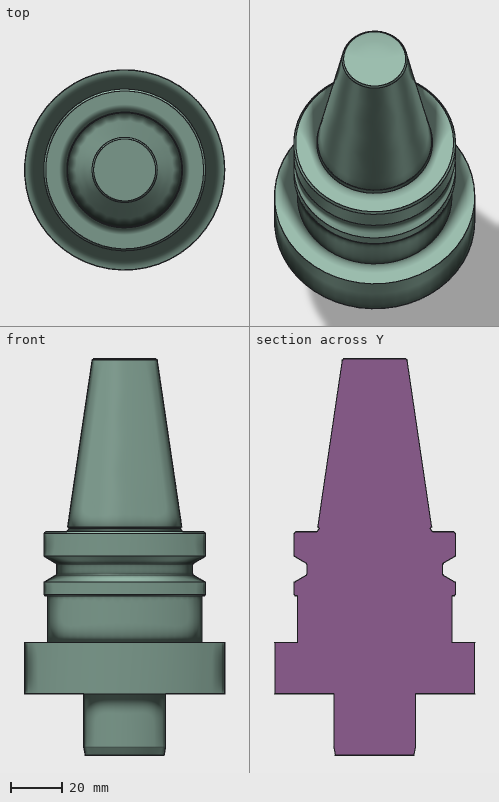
import cadquery as cq
import math

pin_diameter = 32.0
collar_diameter = 78.0
neck_diameter = 60.2
flange_diameter = 63.0
groove_diameter = 53.0
gauge_diameter = 44.5
taper_root_diameter = 45.1

collar_bottom = 24.0
collar_top = 44.0
flange_bottom = 62.0
groove_center = 72.4
flange_top = 87.1
gauge_height = 89.0
total_height = 154.4

taper_ratio = 7 / 24
groove_floor_width = 4.3
groove_wall_angle = 30.0
pin_chamfer_height = 3.2
pin_chamfer_width = 0.6
flange_chamfer = 0.8
flange_bottom_chamfer = 0.5
taper_tip_chamfer = 0.6
relief_depth = 0.6
relief_drop = 0.6
groove_fillet = 0.6

pin_radius = pin_diameter / 2
collar_radius = collar_diameter / 2
neck_radius = neck_diameter / 2
flange_radius = flange_diameter / 2
groove_radius = groove_diameter / 2
gauge_radius = gauge_diameter / 2
relief_radius = gauge_radius - relief_depth
tip_radius = gauge_radius - taper_ratio * (total_height - gauge_height) / 2
groove_wall_height = (flange_radius - groove_radius) * math.tan(math.radians(groove_wall_angle))
groove_floor_half = groove_floor_width / 2
groove_mouth_half = groove_floor_half + groove_wall_height

pin_points = [
    (0, 0),
    (pin_radius - pin_chamfer_width, 0),
    (pin_radius, pin_chamfer_height),
    (pin_radius, collar_bottom),
]
collar_points = [
    (collar_radius, collar_bottom),
    (collar_radius, collar_top),
    (neck_radius, collar_top),
    (neck_radius, flange_bottom),
]
flange_points = [
    (flange_radius - flange_bottom_chamfer, flange_bottom),
    (flange_radius, flange_bottom + flange_bottom_chamfer),
    (flange_radius, groove_center - groove_mouth_half),
    (groove_radius, groove_center - groove_floor_half),
    (groove_radius, groove_center + groove_floor_half),
    (flange_radius, groove_center + groove_mouth_half),
    (flange_radius, flange_top - flange_chamfer),
    (flange_radius - flange_chamfer, flange_top),
]
taper_points = [
    (taper_root_diameter / 2, flange_top),
    (relief_radius, gauge_height - relief_drop),
    (gauge_radius, gauge_height),
    (tip_radius, total_height - taper_tip_chamfer),
    (tip_radius - taper_tip_chamfer, total_height),
    (0, total_height),
]

section = cq.Workplane("XZ").polyline(pin_points + collar_points + flange_points + taper_points).close()
holder = section.revolve(360, (0, 0, 0), (0, 1, 0))

margin = groove_wall_height / 2
groove_corners = cq.selectors.BoxSelector(
    (-margin, -margin, groove_center - groove_floor_half - margin),
    (margin, margin, groove_center + groove_floor_half + margin),
)
result = holder.edges(groove_corners).fillet(groove_fillet)